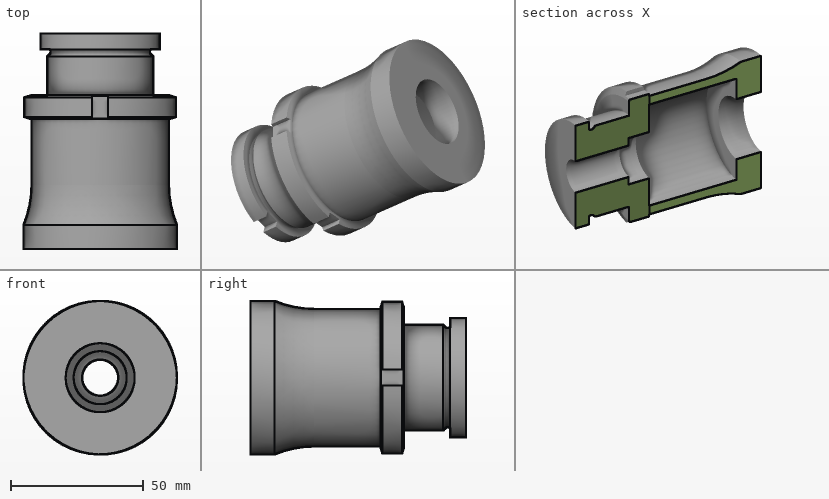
import cadquery as cq
import math

TOTAL_LENGTH = 81.4

BASE_RADIUS = 29.02
BASE_HEIGHT = 9.0
SLEEVE_RADIUS = 26.01
FLARE_END = 24.0
HOUSING_LENGTH = 49.0
BASE_BORE_RADIUS = 13.0
BASE_WALL = 11.0
CAVITY_RADIUS = 22.0

COLLAR_RADIUS = 28.8
COLLAR_THICKNESS = 9.0
COLLAR_CHAMFER_LENGTH = 0.8
COLLAR_FACE_RADIUS = SLEEVE_RADIUS
SLOT_WIDTH = 6.0
SLOT_FLOOR = 26.9
SLOT_COUNT = 4
SHANK_RADIUS = 20.0
HEAD_RADIUS = 22.55
HEAD_THICKNESS = 6.0
GROOVE_RADIUS = 18.8
GROOVE_FLAT = 0.5
GROOVE_FILLET = 0.7
GROOVE_CORNER_RISE = 0.4
GROOVE_CONE_ANGLE = 45.0
NOTCH_WIDTH = 6.0
NOTCH_DEPTH = 3.0
NOTCH_ANGLE = 15.0
PLUG_BORE_RADIUS = 6.75
COUNTERBORE_RADIUS = 10.0
COUNTERBORE_DEPTH = 9.0

COLLAR_END = HOUSING_LENGTH + COLLAR_THICKNESS
HEAD_START = TOTAL_LENGTH - HEAD_THICKNESS


def turn_about_y(profile):
    """Revolve a closed (radius, Y) profile about the Y axis."""
    return profile.close().revolve(360, (0, 0, 0), (0, 1, 0))


def cylinder(radius, start, length):
    """A solid cylinder along +Y that begins at Y = start."""
    return cq.Workplane(cq.Solid.makeCylinder(radius, length, cq.Vector(0, start, 0), cq.Vector(0, 1, 0)))


def make_housing():
    outside = (
        cq.Workplane("XY")
        .lineTo(BASE_RADIUS, 0)
        .lineTo(BASE_RADIUS, BASE_HEIGHT)
    )
    flare_length = FLARE_END - BASE_HEIGHT
    flare_rise = BASE_RADIUS - SLEEVE_RADIUS
    flare_radius = (flare_length**2 + flare_rise**2) / (2 * flare_rise)
    half_angle = math.asin(flare_length / flare_radius) / 2
    flare_middle = (
        SLEEVE_RADIUS + flare_radius * (1 - math.cos(half_angle)),
        FLARE_END - flare_radius * math.sin(half_angle),
    )
    outside = (
        outside.threePointArc(flare_middle, (SLEEVE_RADIUS, FLARE_END))
        .lineTo(SLEEVE_RADIUS, HOUSING_LENGTH)
        .lineTo(0, HOUSING_LENGTH)
    )
    base_bore = cylinder(BASE_BORE_RADIUS, 0, BASE_WALL)
    cavity = cylinder(CAVITY_RADIUS, BASE_WALL, HOUSING_LENGTH - BASE_WALL)
    return turn_about_y(outside).cut(base_bore).cut(cavity)


def make_plug_blank():
    """The turned plug, before its bores, slots and notch are cut."""
    cone_angle = math.radians(GROOVE_CONE_ANGLE)
    cone_start_radius = GROOVE_RADIUS + GROOVE_FILLET * (1 - math.cos(cone_angle))
    cone_length = (SHANK_RADIUS - cone_start_radius) / math.tan(cone_angle)
    corner_angle = math.acos(1 - GROOVE_CORNER_RISE / GROOVE_FILLET)

    flat_end = HEAD_START - GROOVE_FILLET * math.sin(corner_angle)
    flat_start = flat_end - GROOVE_FLAT
    cone_end = flat_start - GROOVE_FILLET * math.sin(cone_angle)

    def fillet_point(flat_edge, angle):
        """Point on a groove fillet; a positive angle lies towards the head."""
        return (
            GROOVE_RADIUS + GROOVE_FILLET * (1 - math.cos(angle)),
            flat_edge + GROOVE_FILLET * math.sin(angle),
        )

    profile = (
        cq.Workplane("XY")
        .moveTo(0, HOUSING_LENGTH)
        .lineTo(COLLAR_FACE_RADIUS, HOUSING_LENGTH)
        .lineTo(COLLAR_RADIUS, HOUSING_LENGTH + COLLAR_CHAMFER_LENGTH)
        .lineTo(COLLAR_RADIUS, COLLAR_END - COLLAR_CHAMFER_LENGTH)
        .lineTo(COLLAR_FACE_RADIUS, COLLAR_END)
        .lineTo(SHANK_RADIUS, COLLAR_END)
        .lineTo(SHANK_RADIUS, cone_end - cone_length)
        .lineTo(cone_start_radius, cone_end)
        .threePointArc(fillet_point(flat_start, -cone_angle / 2), (GROOVE_RADIUS, flat_start))
        .lineTo(GROOVE_RADIUS, flat_end)
        .threePointArc(fillet_point(flat_end, corner_angle / 2), fillet_point(flat_end, corner_angle))
        .lineTo(HEAD_RADIUS, HEAD_START)
        .lineTo(HEAD_RADIUS, TOTAL_LENGTH)
        .lineTo(0, TOTAL_LENGTH)
    )
    return turn_about_y(profile)


def radial_cutter(width, start, length, floor, outer_radius):
    """A block on the -Z side that reaches in to the given floor distance."""
    height = 2 * (outer_radius - floor)
    block = cq.Workplane("XY").box(width, length, height)
    return block.translate((0, start + length / 2, -floor - height / 2))


def turn_cutter(cutter, angle):
    """Turn a cutter about Y, from -Z towards -X."""
    return cutter.rotate((0, 0, 0), (0, 1, 0), angle)


def make_plug():
    plug = make_plug_blank()
    plug = plug.cut(cylinder(PLUG_BORE_RADIUS, HOUSING_LENGTH, TOTAL_LENGTH - HOUSING_LENGTH))
    plug = plug.cut(cylinder(COUNTERBORE_RADIUS, HOUSING_LENGTH, COUNTERBORE_DEPTH))

    slot = radial_cutter(SLOT_WIDTH, HOUSING_LENGTH, COLLAR_THICKNESS, SLOT_FLOOR, COLLAR_RADIUS)
    for index in range(SLOT_COUNT):
        plug = plug.cut(turn_cutter(slot, index * 360 / SLOT_COUNT))

    notch_floor = HEAD_RADIUS - NOTCH_DEPTH
    notch = radial_cutter(NOTCH_WIDTH, HEAD_START, HEAD_THICKNESS, notch_floor, HEAD_RADIUS)
    return plug.cut(turn_cutter(notch, NOTCH_ANGLE))


housing = make_housing()
plug = make_plug()

result = cq.Compound.makeCompound([housing.val(), plug.val()])